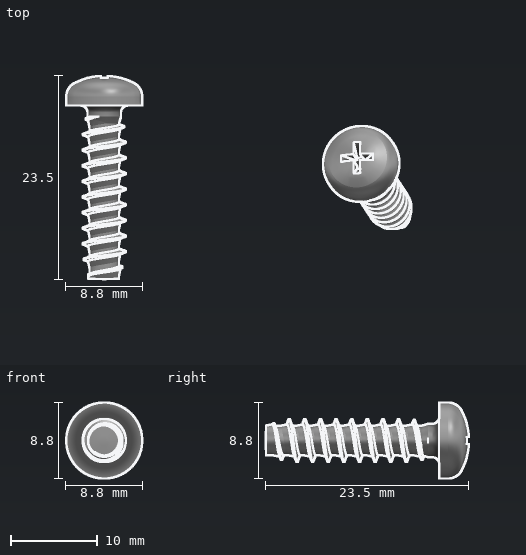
import cadquery as cq
import math


total_length = 23.45
tip_cone_height = 0.05
shank_length = 20.0
head_seat = shank_length - tip_cone_height
recess_rim_drop = 0.02
crown_top = total_length - tip_cone_height + recess_rim_drop

head_radius = 4.4
head_edge_radius = 0.08
crown_radius = 7.4
shoulder_radius = 1.8

neck_radius = 1.95
neck_fillet = 0.75
neck_taper_length = 0.8
neck_end = head_seat - 1.25

recess_radius = 1.9
recess_depth = 2.2
recess_bottom_radius = 0.7
wing_width = 0.76

core_radius = 1.71
crest_radius = 2.5
pitch = 1.8
crest_width = 0.06
lower_flank_slope = 0.38
upper_flank_kink_radius = 2.05
upper_flank_kink_offset = 0.17
upper_foot_slope = 0.53
ridge_inner_radius = core_radius - 0.21
reference_crest_height = 1.335

root_start_offset = -1.04
root_end_offset = -0.15
root_slope = 0.2
root_overlap = 0.02
root_inner_radius = core_radius - 0.16

tip_crest_radius = 1.73
tip_run_end = 2.58
tip_extension = 0.3
neck_crest_radius = 2.12
neck_run_length = 2.2
neck_extension = 0.5
joint_tolerance = 0.001


def make_body():
    """Revolve the head, neck, core and tip cone as one profile."""
    shoulder_x = head_radius - shoulder_radius
    crown_centre = crown_top - crown_radius
    centre_distance = crown_radius - shoulder_radius
    shoulder_z = crown_centre + math.sqrt(centre_distance**2 - shoulder_x**2)
    tilt = math.asin(shoulder_x / centre_distance)
    join = (crown_radius * math.sin(tilt), crown_centre + crown_radius * math.cos(tilt))
    crown_middle = (
        crown_radius * math.sin(tilt / 2),
        crown_centre + crown_radius * math.cos(tilt / 2),
    )
    shoulder_angle = (math.pi / 2 - tilt) / 2
    shoulder_middle = (
        shoulder_x + shoulder_radius * math.cos(shoulder_angle),
        shoulder_z + shoulder_radius * math.sin(shoulder_angle),
    )

    profile = (
        cq.Workplane("XZ")
        .moveTo(0, -tip_cone_height)
        .lineTo(core_radius, 0)
        .lineTo(core_radius, neck_end - neck_taper_length)
        .lineTo(neck_radius, neck_end)
        .lineTo(neck_radius, head_seat - neck_fillet)
        .tangentArcPoint((neck_fillet, neck_fillet), relative=True)
        .lineTo(head_radius - head_edge_radius, head_seat)
        .tangentArcPoint((head_edge_radius, head_edge_radius), relative=True)
        .lineTo(head_radius, shoulder_z)
        .threePointArc(shoulder_middle, join)
        .threePointArc(crown_middle, (0, crown_top))
        .close()
    )
    return profile.revolve(360, (0, 0, 0), (0, 1, 0))


def start_turn(height):
    """Angle about the axis, in degrees, at which the thread reaches a height."""
    return 360 * (height - reference_crest_height) / pitch


def conical_helix(start, end, start_radius, end_radius):
    """Helical path between two heights whose radius changes steadily."""
    height = end - start
    slant = math.hypot(height, end_radius - start_radius)
    angle = math.degrees(math.atan((end_radius - start_radius) / height))
    helix = cq.Wire.makeHelix(pitch * slant / height, slant, start_radius, angle=angle)
    return place_on_thread(helix, start)


def straight_helix(start, end, radius):
    """Helical path of constant radius between two heights."""
    return place_on_thread(cq.Wire.makeHelix(pitch, end - start, radius), start)


def place_on_thread(helix, start):
    """Lift a helix to its start height and turn it into step with the thread."""
    lifted = helix.translate(cq.Vector(0, 0, start))
    return lifted.rotate(cq.Vector(0, 0, 0), cq.Vector(0, 0, 1), start_turn(start))


def sweep_section(section, path, start):
    """Sweep a closed (radius, offset) section along a path beginning at a height."""
    turn = math.radians(start_turn(start))
    outward = (math.cos(turn), math.sin(turn), 0)
    normal = (math.sin(turn), -math.cos(turn), 0)
    plane = cq.Plane(origin=(0, 0, start), xDir=outward, normal=normal)
    profile = cq.Workplane(plane).polyline(section).close()
    return profile.sweep(cq.Workplane(obj=path), transition="transformed", isFrenet=True)


def make_ridge():
    """Sharp thread ridge that rises out of the core at the tip and sinks at the neck."""
    start = -tip_extension
    neck_run_start = neck_end - neck_run_length
    end = neck_end + neck_extension
    tip_taper = (crest_radius - tip_crest_radius) / tip_run_end
    neck_taper = (crest_radius - neck_crest_radius) / neck_run_length
    start_radius = tip_crest_radius - tip_taper * tip_extension
    end_radius = neck_crest_radius - neck_taper * neck_extension
    stretches = [
        conical_helix(start, tip_run_end, start_radius, crest_radius),
        straight_helix(tip_run_end, neck_run_start, crest_radius),
        conical_helix(neck_run_start, end, crest_radius, end_radius),
    ]
    edges = [edge for stretch in stretches for edge in stretch.Edges()]
    path = cq.Wire.combine(edges, joint_tolerance)[0]

    depth = crest_radius - ridge_inner_radius
    lower_foot = -crest_width / 2 - lower_flank_slope * depth
    upper_foot = upper_flank_kink_offset + upper_foot_slope * (upper_flank_kink_radius - ridge_inner_radius)
    section = [
        (ridge_inner_radius, lower_foot),
        (crest_radius, -crest_width / 2),
        (crest_radius, crest_width / 2),
        (upper_flank_kink_radius, upper_flank_kink_offset),
        (ridge_inner_radius, upper_foot),
    ]
    sink = crest_radius - start_radius
    sunk_section = [(radius - sink, offset) for radius, offset in section]
    return sweep_section(sunk_section, path, start)


def make_root():
    """Tapered thickening of the core on the tip side of the ridge."""
    start = -pitch
    path = straight_helix(start, neck_end + pitch, core_radius)
    outer_radius = core_radius + root_slope * (root_end_offset - root_start_offset)
    section = [
        (root_inner_radius, root_start_offset),
        (core_radius - root_overlap, root_start_offset - root_overlap / root_slope),
        (outer_radius, root_end_offset),
        (root_inner_radius, 0),
    ]
    return sweep_section(section, path, start)


def make_thread():
    """Ridge and root joined, each trimmed flush with the tip rim and the neck."""
    threaded_length = cq.Workplane("XY").circle(head_radius).extrude(neck_end)
    ridge = make_ridge().intersect(threaded_length)
    root = make_root().intersect(threaded_length)
    return ridge.union(root)


def make_recess():
    """Two crossed wings bounded by a cone that narrows towards the bottom."""
    wall_slope = (recess_radius - recess_bottom_radius) / recess_depth
    crown_drop = crown_radius - math.sqrt(crown_radius**2 - recess_radius**2)
    floor = crown_top - crown_drop - recess_depth
    height = crown_top - floor
    top_radius = recess_bottom_radius + wall_slope * height
    cone = cq.Workplane(obj=cq.Solid.makeCone(
        recess_bottom_radius, top_radius, height, cq.Vector(0, 0, floor)))
    on_floor = (True, True, False)
    wing = cq.Workplane("XY", origin=(0, 0, floor)).box(
        2 * top_radius, wing_width, height, centered=on_floor)
    cross = wing.union(wing.rotate((0, 0, 0), (0, 0, 1), 90))
    return cross.intersect(cone)


screw = make_body().union(make_thread()).cut(make_recess())
result = screw.rotate((0, 0, 0), (1, 0, 0), -90)